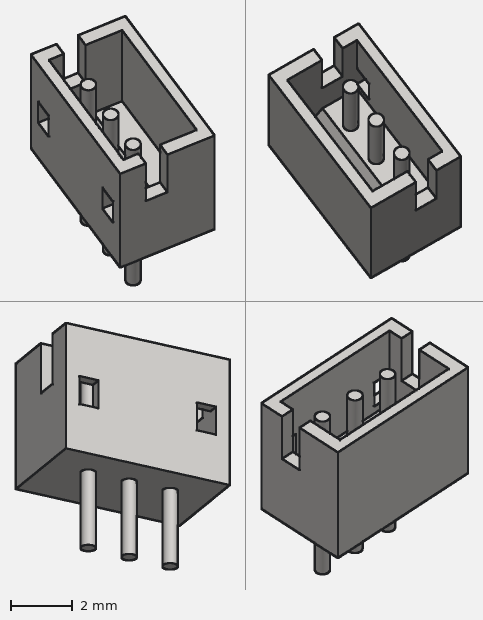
import cadquery as cq

LENGTH = 6.0
DEPTH = 3.5
OVERALL_HEIGHT = 7.2
HEIGHT = 4.5
END_WALL = 0.5
SIDE_WALL = 0.395
FRONT_Y = -1.3
BACK_Y = FRONT_Y + DEPTH

PIN_FLOOR_Z = 1.4
BACK_FLOOR_Z = 1.1
RAMP_START_Y = 0.43
RAMP_END_Y = 0.74

SLOT_FRONT_Y = -0.35
SLOT_BACK_Y = 0.45
SLOT_BOTTOM_Z = 2.7

WINDOW_WIDTH = 0.7
WINDOW_BOTTOM_Z = 1.7
WINDOW_TOP_Z = SLOT_BOTTOM_Z

PIN_COUNT = 3
PIN_PITCH = 1.5
PIN_DIAMETER = 0.505
CONTACT_TOP_Z = 3.8
TAIL_LENGTH = OVERALL_HEIGHT - HEIGHT

CAVITY_LENGTH = LENGTH - 2 * END_WALL


def block(x_min, x_max, y_min, y_max, z_min, z_max):
    """Box given by its limits along each axis."""
    size = (x_max - x_min, y_max - y_min, z_max - z_min)
    return cq.Workplane("XY").box(*size, centered=False).translate((x_min, y_min, z_min))


def make_cavity():
    """Open-topped cavity whose ramped floor profile is extruded along X."""
    front = FRONT_Y + SIDE_WALL
    back = BACK_Y - SIDE_WALL
    return (
        cq.Workplane("YZ", origin=(-CAVITY_LENGTH / 2, 0, 0))
        .polyline([
            (front, HEIGHT),
            (front, PIN_FLOOR_Z),
            (RAMP_START_Y, PIN_FLOOR_Z),
            (RAMP_END_Y, BACK_FLOOR_Z),
            (back, BACK_FLOOR_Z),
            (back, HEIGHT),
        ])
        .close()
        .extrude(CAVITY_LENGTH)
    )


def make_window():
    """Right-hand window, through the front wall only."""
    outer_x = CAVITY_LENGTH / 2
    return block(
        outer_x - WINDOW_WIDTH, outer_x,
        FRONT_Y, FRONT_Y + SIDE_WALL,
        WINDOW_BOTTOM_Z, WINDOW_TOP_Z,
    )


def make_housing():
    """Shrouded housing with slotted ends and two front windows."""
    half_length = LENGTH / 2
    shell = block(-half_length, half_length, FRONT_Y, BACK_Y, 0, HEIGHT)
    slots = block(-half_length, half_length, SLOT_FRONT_Y, SLOT_BACK_Y, SLOT_BOTTOM_Z, HEIGHT)
    window = make_window()
    return shell.cut(make_cavity()).cut(slots).cut(window).cut(window.mirror("YZ"))


def make_pin(x, bottom_z, top_z):
    """Round pin centred on the pin row."""
    return (
        cq.Workplane("XY", origin=(x, 0, bottom_z))
        .circle(PIN_DIAMETER / 2)
        .extrude(top_z - bottom_z)
    )


housing = make_housing()

contacts = []
tails = []
for index in range(PIN_COUNT):
    pin_x = (index - (PIN_COUNT - 1) / 2) * PIN_PITCH
    contacts.append(make_pin(pin_x, PIN_FLOOR_Z, CONTACT_TOP_Z).val())
    tails.append(make_pin(pin_x, -TAIL_LENGTH, 0).val())

result = cq.Compound.makeCompound([housing.val(), *contacts, *tails])